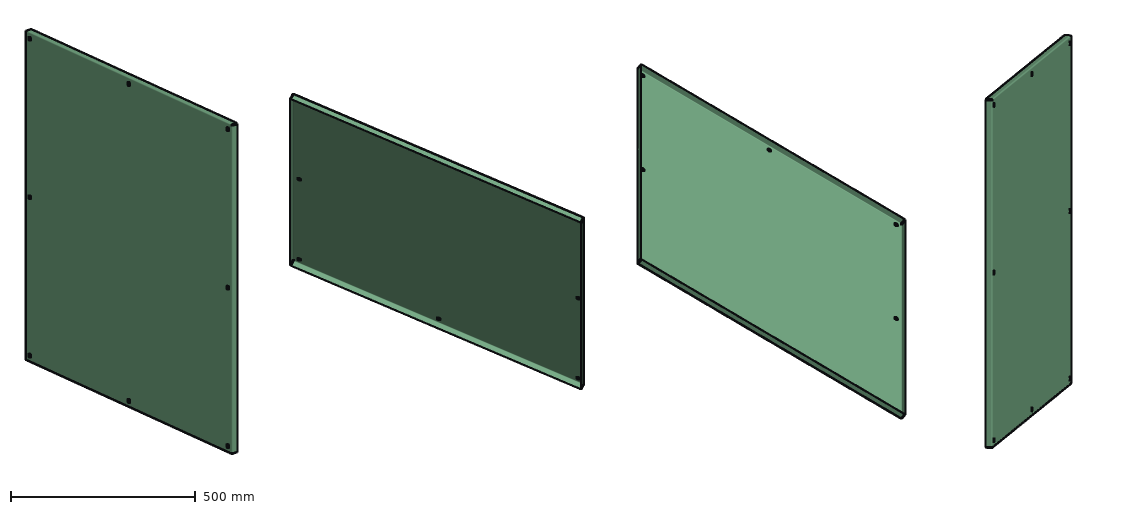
import cadquery as cq

width = 876.0
depth = 19.0
height = 965.0
sheet_thickness = 2.0
bend_radius = 4.0
hole_diameter = 12.0
hole_inset = 19.0


def make_channel(span, length):
    """C-shaped channel: web toward -Y, flanges a span apart in X, run along Z."""
    def make_bar(inset):
        return (
            cq.Workplane("XY")
            .rect(span - 2 * inset, depth)
            .extrude(length / 2, both=True)
            .translate((0, inset, 0))
            .faces("<Y")
            .edges("|Z")
            .fillet(bend_radius - inset)
        )

    return make_bar(0).cut(make_bar(sheet_thickness))


def make_pan():
    """Two crossing channels sharing one face; each flange stops where the next fold begins."""
    side_flanges = make_channel(width, height - 2 * bend_radius)
    end_flanges = make_channel(height, width - 2 * bend_radius)
    end_flanges = end_flanges.rotate((0, 0, 0), (0, 1, 0), 90)
    return side_flanges.union(end_flanges)


def make_hole_cutters():
    """Mounting holes at the corners and the middle of each side."""
    hole_x = width / 2 - hole_inset
    hole_z = height / 2 - hole_inset
    centres = [
        (column * hole_x, row * hole_z)
        for column in (-1, 0, 1)
        for row in (-1, 0, 1)
        if (column, row) != (0, 0)
    ]
    return (
        cq.Workplane("XZ")
        .pushPoints(centres)
        .circle(hole_diameter / 2)
        .extrude(depth, both=True)
    )


result = make_pan().cut(make_hole_cutters())